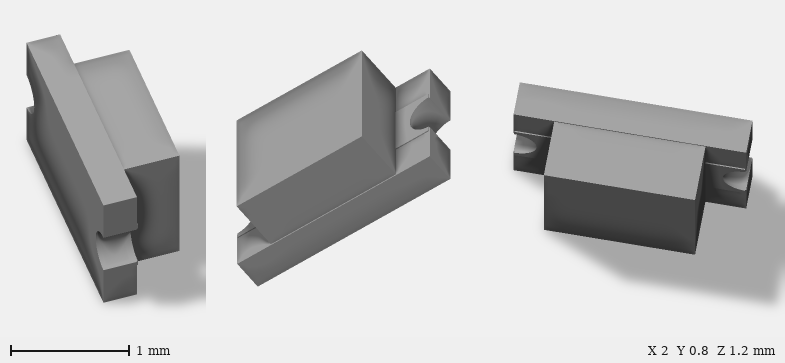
import cadquery as cq

board_length = 2.0
board_height = 1.2
board_thickness = 0.3
notch_radius = 0.2

total_depth = 0.8
lens_length = 1.3
lens_height = 1.175

pad_height = 0.5
pad_thickness = 0.01
pad_end_gap = 0.008

front_y = -total_depth / 2
board_back_y = front_y + board_thickness
lens_depth = total_depth - board_thickness


def block(length, depth, height, center_x, start_y):
    """Box centred in Z, growing toward +Y from start_y."""
    return (
        cq.Workplane("XY")
        .box(length, depth, height, centered=(True, False, True))
        .translate((center_x, start_y, 0))
    )


def end_notch(side):
    """Round cutter through the board and pad at one end."""
    return (
        cq.Workplane("XZ", origin=(side * board_length / 2, front_y, 0))
        .circle(notch_radius)
        .extrude(-(board_thickness + pad_thickness))
    )


board = block(board_length, board_thickness, board_height, 0, front_y)
lens = block(lens_length, lens_depth, lens_height, 0, board_back_y)
result = board.union(lens)

pad_length = (board_length - lens_length) / 2 - pad_end_gap
pad_center_x = (lens_length + pad_length) / 2
for side in (-1, 1):
    pad = block(pad_length, pad_thickness, pad_height, side * pad_center_x, board_back_y)
    result = result.union(pad).cut(end_notch(side))